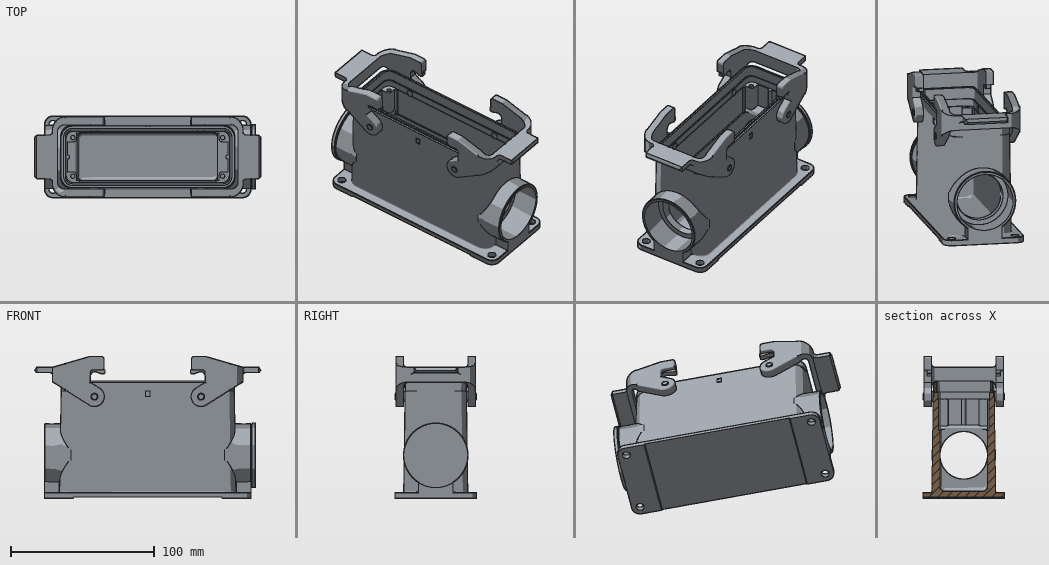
import cadquery as cq
import math

base_length = 143.8
base_width = 57.0
base_thickness = 4.0
base_corner_radius = 6.0
base_edge_chamfer = 0.3
mount_hole_diameter = 5.6
foot_recess_length = 102.6
foot_recess_depth = 0.8
foot_edge_chamfer = 0.75

body_length = 122.6
body_width = 44.7
body_corner_radius = 7.8
draft_angle = 0.8
collar_bottom = 74.7
rim_top = 80.5
draft_inset = (collar_bottom - base_thickness) * math.tan(math.radians(draft_angle))
collar_length = body_length - 2 * draft_inset
collar_width = body_width - 2 * draft_inset
foot_fillet = 0.66
notch_width = 3.3
notch_height = 3.9
notch_depth = 0.6

floor_height = 5.0
well_length = 97.2
well_width = 33.0
well_fillet = 3.2
ledge_height = 51.0
ledge_radius = 3.2
chamber_length = 111.8
seat_height = 69.0
panel_length = 95.0
panel_width = 35.0
panel_bottom = 47.3
insert_length = 113.6
insert_width = 35.6
insert_top = 74.0
mouth_length = 114.6
mouth_width = 37.4
mouth_corner_radius = 5.0

post_hole_x = 52.1
post_hole_y = 13.4
post_inner_x = 49.7
post_inner_y = 10.5
post_corner_radius = 2.0
post_hole_diameter = 3.0
post_hole_depth = 12.0
key_rib_diameter = 3.0

socket_height = 30.0
socket_diameter = 44.0
socket_root_diameter = 44.5
socket_chamfer = 0.5
socket_bore = 40.0
socket_end = base_length / 2
bore_bottom = 54.2
passage_diameter = 33.0
web_width = 24.2
web_flare_width = 2.8
web_flare_length = 0.9

gasket_top = 81.8
gasket_width = 1.2

seal_diameter = 43.0
seal_thickness = 0.7
plug_diameter = 40.0
plug_depth = 10.0
plug_head_diameter = 45.0
plug_head_thickness = 2.3

pivot_x = 37.1
pivot_height = 70.8
pivot_diameter = 4.8
pivot_chamfer = 0.4
pivot_reach = 28.3
pivot_boss_diameter = 7.0
lever_eye_radius = 6.9
lever_outer_y = 27.8
lever_inner_y = 22.3
lever_bar_outer = 66.3
lever_bar_inner = 62.9
lever_outer_radius = 9.0
lever_inner_radius = 5.0
lever_top = 98.8
lever_peak_x = 40.4
lever_bar_top = 91.3
lever_bar_bottom = 81.1
lever_edge_radius = 0.78
top_slope = (lever_top - lever_bar_top) / (lever_bar_outer - lever_peak_x)
bend_x = lever_bar_outer - lever_outer_radius
bend_y = lever_outer_y - lever_outer_radius
bend_inside = 2.0
bend_outside = 12.0
bend_steps = 6
hook_tip_x = 30.3
hook_under = 89.5
hook_throat_x = 40.0
hook_throat_radius = 2.5
hook_corner_radius = 2.0
throat_bottom = 80.7
lip_tip_x = 29.7
lip_tip_bottom = 87.2
lip_low_x = 31.2
lip_low = 86.6
lip_high_x = 36.5
lip_high = 88.1
lip_end = 85.0
lip_outer_y = 25.5
tab_tip_x = 78.7
tab_bottom = 87.5
tab_tip_height = 89.1
tab_tip_bevel = 1.3
tab_half_width = 15.2
tab_root_radius = 1.8
tab_root_flare = 2.5
tab_corner = 1.5


def rounded_block(length, width, radius, bottom, top):
    """Upright block with rounded vertical corners, centred on the Z axis."""
    outline = cq.Sketch().rect(length, width).vertices().fillet(radius)
    return cq.Workplane("XY").workplane(offset=bottom).placeSketch(outline).extrude(top - bottom)


def box_between(x_range, y_range, z_range):
    """Box given by its limits along each axis."""
    sizes = [high - low for low, high in (x_range, y_range, z_range)]
    corner = (x_range[0], y_range[0], z_range[0])
    return cq.Workplane("XY").box(*sizes, centered=False).translate(corner)


def x_cylinder(diameter, x_start, x_end):
    """Cylinder on the common axis of the two sockets."""
    plane = cq.Workplane("YZ", origin=(x_start, 0, socket_height))
    return plane.circle(diameter / 2).extrude(x_end - x_start)


def y_cylinder(diameter, x, z, y_start, y_end):
    """Cylinder parallel to the Y axis."""
    plane = cq.Workplane("XZ", origin=(x, y_start, z))
    return plane.circle(diameter / 2).extrude(y_start - y_end)


def make_base():
    """Foot plate with four mounting holes and a shallow recess underneath."""
    base = rounded_block(base_length, base_width, base_corner_radius, 0, base_thickness)
    hole_x = base_length / 2 - base_corner_radius
    hole_y = base_width / 2 - base_corner_radius
    base = (
        base.faces(">Z").edges().chamfer(base_edge_chamfer)
        .faces("<Z").workplane(origin=(0, 0, 0))
        .rect(2 * hole_x, 2 * hole_y, forConstruction=True).vertices().hole(mount_hole_diameter)
    )
    half = foot_recess_length / 2
    recess = (
        cq.Workplane("XZ")
        .polyline([
            (-half - foot_edge_chamfer, 0),
            (-half, foot_recess_depth),
            (half, foot_recess_depth),
            (half + foot_edge_chamfer, 0),
        ])
        .close().extrude(base_width / 2, both=True)
    )
    return base.cut(recess)


def make_body():
    """Drafted block with rounded corners, topped by a straight collar."""
    lower = (
        cq.Workplane("XY", origin=(0, 0, base_thickness)).rect(body_length, body_width)
        .extrude(collar_bottom - base_thickness, taper=draft_angle)
        .edges("not(|X or |Y)").fillet(body_corner_radius)
    )
    collar = rounded_block(collar_length, collar_width, body_corner_radius, collar_bottom, rim_top)
    return lower.union(collar)


def make_socket():
    """Solid socket barrel on the +X end, with a web below it that flares into the housing wall."""
    root_x = body_length / 2 - body_corner_radius
    barrel = (
        cq.Workplane("YZ", origin=(root_x, 0, socket_height)).circle(socket_root_diameter / 2)
        .workplane(offset=socket_end - root_x).circle(socket_diameter / 2).loft()
        .faces(">X").chamfer(socket_chamfer)
    )
    web_half = web_width / 2
    flare_half = web_half + web_flare_width
    wall_x = body_length / 2 - draft_inset / 2
    web = (
        cq.Workplane("XY", origin=(0, 0, base_thickness / 2))
        .moveTo(bore_bottom, -flare_half)
        .lineTo(wall_x, -flare_half)
        .lineTo(wall_x + web_flare_length, -web_half)
        .lineTo(socket_end, -web_half)
        .lineTo(socket_end, web_half)
        .lineTo(wall_x + web_flare_length, web_half)
        .lineTo(wall_x, flare_half)
        .lineTo(bore_bottom, flare_half)
        .close().extrude(socket_height - base_thickness / 2)
    )
    return barrel.union(web)


def make_cavity():
    """Everything hollow between the floor and the open mouth."""
    well = rounded_block(well_length, well_width, well_fillet, floor_height, seat_height)
    well = well.faces("<Z").edges().fillet(well_fillet)
    half = chamber_length / 2
    lip_x = well_length / 2
    chamber = (
        cq.Workplane("XZ")
        .moveTo(half, seat_height)
        .lineTo(half, ledge_height)
        .lineTo(lip_x + ledge_radius, ledge_height)
        .radiusArc((lip_x, ledge_height - ledge_radius), -ledge_radius)
        .lineTo(0, ledge_height - ledge_radius)
        .lineTo(0, seat_height)
        .close().extrude(well_width / 2, both=True)
        .edges("|Z and >X").fillet(post_corner_radius)
    )
    insert_space = rounded_block(
        insert_length, insert_width, mouth_corner_radius, seat_height, insert_top
    )
    mouth = rounded_block(mouth_length, mouth_width, mouth_corner_radius, insert_top, gasket_top)
    panels = cq.Workplane("XY", origin=(0, 0, panel_bottom)).rect(panel_length, panel_width)
    panels = panels.extrude(seat_height - panel_bottom)
    cavity = well.union(chamber).union(chamber.mirror("YZ"))
    for space in (panels, insert_space, mouth):
        cavity = cavity.union(space)
    return cavity


def make_post(x_side, y_side):
    """Corner post with a screw hole, merged into the walls behind it."""
    post = box_between(
        (post_inner_x, insert_length / 2),
        (post_inner_y, insert_width / 2),
        (ledge_height - ledge_radius, seat_height),
    )
    post = post.edges("|Z and <X and <Y").fillet(post_corner_radius)
    hole = (
        cq.Workplane("XY", origin=(post_hole_x, post_hole_y, seat_height))
        .circle(post_hole_diameter / 2).extrude(-post_hole_depth)
    )
    post = post.cut(hole)
    if x_side < 0:
        post = post.mirror("YZ")
    if y_side < 0:
        post = post.mirror("XZ")
    return post


def make_notch(y_side):
    """Cutter for the small centre mark just below the collar."""
    wall_y = collar_width / 2
    notch = box_between(
        (-notch_width / 2, notch_width / 2),
        (wall_y - notch_depth, wall_y + notch_depth),
        (collar_bottom - notch_height, collar_bottom),
    )
    return notch if y_side > 0 else notch.mirror("XZ")


def make_housing():
    """Foot, walls and sockets, hollowed out, with posts, key ribs and pivot bosses."""
    body = make_base().union(make_body())
    foot_outline = cq.selectors.BoxSelector(
        (-body_length / 2 - foot_fillet, -body_width / 2 - foot_fillet, base_thickness - foot_fillet),
        (body_length / 2 + foot_fillet, body_width / 2 + foot_fillet, base_thickness + foot_fillet),
        boundingbox=True,
    )
    body = body.edges(foot_outline).fillet(foot_fillet)
    socket = make_socket()
    housing = body.union(socket).union(socket.mirror("YZ")).cut(make_cavity())
    for side in (-1, 1):
        housing = housing.cut(x_cylinder(socket_bore, side * bore_bottom, side * socket_end))
        housing = housing.cut(x_cylinder(passage_diameter, 0, side * bore_bottom))
        rib = cq.Workplane("XY", origin=(side * chamber_length / 2, 0, ledge_height))
        housing = housing.union(rib.circle(key_rib_diameter / 2).extrude(seat_height - ledge_height))
        housing = housing.cut(make_notch(side))
        for y_side in (-1, 1):
            housing = housing.union(make_post(side, y_side))
            boss = y_cylinder(
                pivot_boss_diameter, side * pivot_x, pivot_height,
                y_side * (collar_width / 2 - 1), y_side * lever_inner_y,
            )
            pivot_hole = y_cylinder(
                pivot_diameter, side * pivot_x, pivot_height, 0, y_side * lever_inner_y
            )
            housing = housing.union(boss).cut(pivot_hole)
    return housing.cut(make_gasket())


def make_gasket():
    """Sealing ring standing in the rim of the housing."""
    outer = rounded_block(
        mouth_length + 2 * gasket_width, mouth_width + 2 * gasket_width,
        mouth_corner_radius + gasket_width, insert_top, gasket_top,
    )
    opening = rounded_block(mouth_length, mouth_width, mouth_corner_radius, insert_top, gasket_top)
    return outer.cut(opening)


def make_seal():
    """Flat ring between the +X socket and the plug head."""
    outer = x_cylinder(seal_diameter, socket_end, socket_end + seal_thickness)
    return outer.cut(x_cylinder(plug_diameter, socket_end, socket_end + seal_thickness))


def make_plug():
    """Spigot in the +X socket bore with a wider head outside."""
    head_start = socket_end + seal_thickness
    spigot = x_cylinder(plug_diameter, socket_end - plug_depth, head_start)
    return spigot.union(x_cylinder(plug_head_diameter, head_start, head_start + plug_head_thickness))


def tangent_point(point, centre, radius, side):
    """Where the line from a point touches a circle; side picks one of the two tangents."""
    dx = point[0] - centre[0]
    dz = point[1] - centre[1]
    angle = math.atan2(dz, dx) + side * math.acos(radius / math.hypot(dx, dz))
    return (centre[0] + radius * math.cos(angle), centre[1] + radius * math.sin(angle))


def arm_profile():
    """Side outline of a +X lever arm up to its bend: hook, throat and eye."""
    eye = (pivot_x, pivot_height)
    throat_corner = (hook_throat_x, throat_bottom)
    eye_lower = tangent_point((lever_bar_outer, lever_bar_bottom), eye, lever_eye_radius, -1)
    eye_upper = tangent_point(throat_corner, eye, lever_eye_radius, 1)
    eye_side = (pivot_x - lever_eye_radius, pivot_height)
    return (
        cq.Workplane("XZ")
        .moveTo(bend_x, lever_bar_top + top_slope * lever_outer_radius)
        .lineTo(lever_peak_x, lever_top)
        .lineTo(hook_tip_x + hook_corner_radius, lever_top)
        .radiusArc((hook_tip_x, lever_top - hook_corner_radius), -hook_corner_radius)
        .lineTo(hook_tip_x, hook_under)
        .lineTo(hook_throat_x - hook_throat_radius, hook_under)
        .radiusArc((hook_throat_x, hook_under - hook_throat_radius), hook_throat_radius)
        .lineTo(*throat_corner)
        .lineTo(*eye_upper)
        .threePointArc(eye_side, eye_lower)
        .lineTo(bend_x, lever_bar_bottom - bottom_slope() * lever_outer_radius)
        .close().extrude(base_width / 2, both=True)
    )


def bottom_slope():
    """Fall of the arm's lower edge per unit of length, along the line from the bar to the eye."""
    eye = (pivot_x, pivot_height)
    touch_x, touch_z = tangent_point((lever_bar_outer, lever_bar_bottom), eye, lever_eye_radius, -1)
    return (lever_bar_bottom - touch_z) / (lever_bar_outer - touch_x)


def make_bend():
    """Corner wedge at +Y whose top and bottom edges run level across the lever at every angle."""
    sections = []
    for step in range(bend_steps + 1):
        angle = math.pi / 2 * step / bend_steps
        run = lever_outer_radius * (1 - math.cos(angle))
        low = lever_bar_bottom - bottom_slope() * run
        high = lever_bar_top + top_slope * run
        plane = cq.Plane(
            origin=(bend_x, bend_y, 0),
            xDir=(math.cos(angle), math.sin(angle), 0),
            normal=(math.sin(angle), -math.cos(angle), 0),
        )
        corners = [(bend_inside, low), (bend_outside, low), (bend_outside, high), (bend_inside, high)]
        sections.append(cq.Workplane(plane).polyline(corners).close().val())
    return cq.Workplane(cq.Solid.makeLoft(sections))


def lever_plan():
    """U-shaped plan of a +X lever as a tall prism."""
    open_end = lip_tip_x - lever_bar_outer
    height = (0, 2 * lever_top)
    outer = box_between((0, lever_bar_outer), (-lever_outer_y, lever_outer_y), height)
    inner = box_between((open_end, lever_bar_inner), (-lever_inner_y, lever_inner_y), height)
    outer = outer.edges("|Z and >X").fillet(lever_outer_radius)
    return outer.cut(inner.edges("|Z and >X").fillet(lever_inner_radius))


def make_tab():
    """Finger tab with a pointed tip and a flared root."""
    profile = (
        cq.Workplane("XZ")
        .polyline([
            (lever_bar_inner, lever_bar_top),
            (tab_tip_x - tab_tip_bevel, lever_bar_top),
            (tab_tip_x, tab_tip_height),
            (tab_tip_x - tab_tip_bevel, tab_bottom),
            (lever_bar_outer + tab_root_radius, tab_bottom),
        ])
        .radiusArc((lever_bar_outer, tab_bottom - tab_root_radius), -tab_root_radius)
        .lineTo(lever_bar_inner, tab_bottom - tab_root_radius)
        .close().extrude(base_width / 2, both=True)
    )
    root_x = lever_bar_outer
    root_half = tab_half_width + tab_root_flare
    plan = (
        cq.Workplane("XY")
        .moveTo(lever_bar_inner, -root_half)
        .lineTo(root_x, -root_half)
        .radiusArc((root_x + tab_root_flare, -tab_half_width), tab_root_flare)
        .lineTo(tab_tip_x - tab_corner, -tab_half_width)
        .lineTo(tab_tip_x, tab_corner - tab_half_width)
        .lineTo(tab_tip_x, 0)
        .lineTo(lever_bar_inner, 0)
        .close().extrude(2 * lever_top)
    )
    return profile.intersect(plan.union(plan.mirror("XZ")))


def make_lip():
    """Thinner lip under the hook, with a wavy lower edge."""
    return (
        cq.Workplane("XZ", origin=(0, -lever_inner_y, 0))
        .moveTo(lip_tip_x, hook_under)
        .lineTo(lip_tip_x, lip_tip_bottom)
        .spline(
            [(lip_low_x, lip_low), (lip_high_x, lip_high), (hook_throat_x, lip_end)], includeCurrent=True
        )
        .lineTo(hook_throat_x, hook_under)
        .close().extrude(lip_outer_y - lever_inner_y)
    )


def make_lever():
    """Lever on the +X end with its two pivot pins."""
    bend = make_bend()
    bar = box_between(
        (bend_x, lever_bar_outer), (-bend_y, bend_y), (lever_bar_bottom, lever_bar_top)
    )
    lever = arm_profile().union(bar).union(bend).union(bend.mirror("XZ")).intersect(lever_plan())
    lever = lever.faces(">Y or <Y").edges().fillet(lever_edge_radius)
    lever = lever.union(make_tab())
    pin = y_cylinder(pivot_diameter, pivot_x, pivot_height, insert_width / 2, pivot_reach)
    pin = pin.faces(">Y").chamfer(pivot_chamfer)
    lip = make_lip()
    for piece in (pin, lip):
        lever = lever.union(piece).union(piece.mirror("XZ"))
    return lever


housing = make_housing()
right_lever = make_lever()
left_lever = right_lever.mirror("YZ")
gasket = make_gasket()
plug = make_plug()
plug_seal = make_seal()

result = cq.Compound.makeCompound([
    housing.val(), right_lever.val(), left_lever.val(), gasket.val(), plug.val(), plug_seal.val(),
])